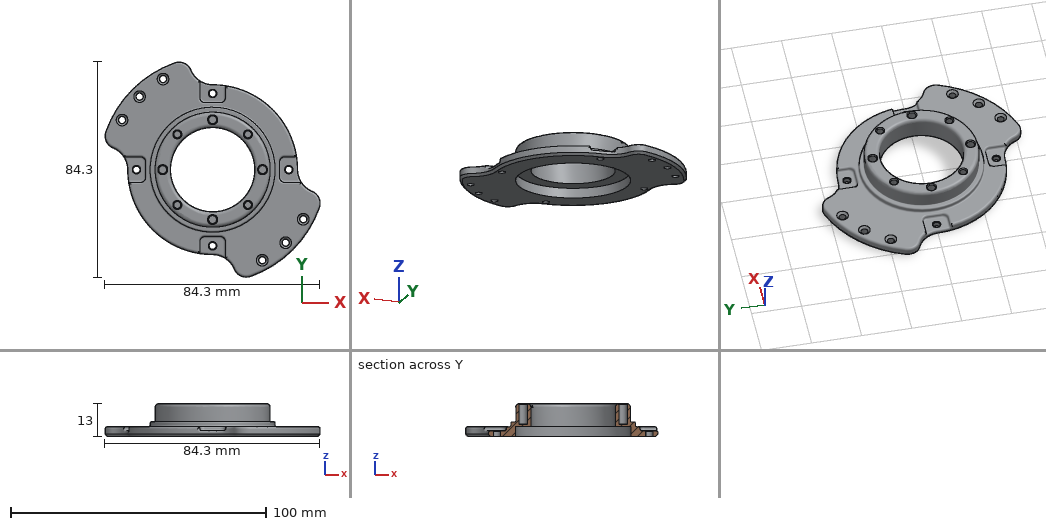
import cadquery as cq
import math

total_height = 13.0
plate_height = 4.0
pocket_floor_height = 2.4
flange_height = 5.9

disc_radius = 33.3
ear_radius = 44.45
ear_corner_radius = 5.1
ear_neck_radius = 9.2
plate_top_fillet = 1.0
plate_bottom_chamfer = 1.0

ring_diameter = 45.1
bore_diameter = 33.0
recess_diameter = ring_diameter
recess_depth = plate_height
ring_top_fillet = 1.5
ring_base_fillet = 0.25
flange_diameter = 49.0
flange_edge_fillet = 0.6
flange_base_fillet = 0.6

pocket_width = 10.0
pocket_inner_distance = 26.2
pocket_corner_radius = 2.0
pocket_fillet = 0.79
pocket_lip_fillet = 0.785
pocket_hole_distance = 29.85
pocket_hole_diameter = 2.7
pocket_hole_mouth = 3.3

ear_hole_distance = 40.5
ear_hole_step_angle = 16.3
ear_hole_diameter = 2.7
ear_hole_mouth = 4.55

ring_hole_distance = 19.6
ring_hole_depth = 8.0
axis_hole_diameter = 3.1
axis_hole_mouth = 4.0
diagonal_hole_diameter = 2.7
diagonal_hole_mouth = 3.55

edge_margin = 0.1

axis_angles = [0, 90, 180, 270]
diagonal_angles = [45, 135, 225, 315]
ear_angles = [135, 315]


def polar(radius, angle):
    """Point at a radius and an angle in degrees."""
    turn = math.radians(angle)
    return (radius * math.cos(turn), radius * math.sin(turn))


def between(start, end, distance):
    """Point at a distance from start on the line towards end."""
    share = distance / math.dist(start, end)
    return (start[0] + share * (end[0] - start[0]), start[1] + share * (end[1] - start[1]))


def arc_middle(centre, start, end, radius):
    """Middle point of the shorter arc from start to end."""
    chord_middle = ((start[0] + end[0]) / 2, (start[1] + end[1]) / 2)
    return between(centre, chord_middle, radius)


def outline():
    """Closed plate outline, walked counter-clockwise from the top of the disc."""
    neck_distance = disc_radius + ear_neck_radius
    corner_distance = ear_radius - ear_corner_radius
    centre_gap = ear_neck_radius + ear_corner_radius
    swing = math.degrees(math.acos(
        (neck_distance**2 + corner_distance**2 - centre_gap**2) / (2 * neck_distance * corner_distance)
    ))
    neck_centre = (0, neck_distance)
    corner_centre = polar(corner_distance, 90 + swing)

    disc_point = (0, disc_radius)
    neck_end = between(neck_centre, corner_centre, ear_neck_radius)
    neck_middle = arc_middle(neck_centre, disc_point, neck_end, ear_neck_radius)
    corner_end = polar(ear_radius, 90 + swing)
    corner_middle = arc_middle(corner_centre, neck_end, corner_end, ear_corner_radius)

    def mirrored(point):
        """Reflect across the ear diagonal."""
        return (-point[1], -point[0])

    def opposite(point):
        """Turn half a revolution about the centre."""
        return (-point[0], -point[1])

    half = [
        (neck_middle, neck_end),
        (corner_middle, corner_end),
        (polar(ear_radius, 135), mirrored(corner_end)),
        (mirrored(corner_middle), mirrored(neck_end)),
        (mirrored(neck_middle), mirrored(disc_point)),
        (polar(disc_radius, 225), opposite(disc_point)),
    ]
    sketch = cq.Workplane("XY").moveTo(*disc_point)
    for middle, end in half:
        sketch = sketch.threePointArc(middle, end)
    for middle, end in half:
        sketch = sketch.threePointArc(opposite(middle), opposite(end))
    return sketch.close()


def rounded_plate():
    """Plate with a rounded top rim and a chamfered bottom rim, without pockets."""
    plate = outline().extrude(plate_height)
    return plate.faces(">Z").edges().fillet(plate_top_fillet).faces("<Z").edges().chamfer(plate_bottom_chamfer)


def pocketed_slab():
    """Oversized slab with the four outward-open pockets, rounded at floor and rim."""
    slab_half = ear_radius + plate_height
    slab = cq.Workplane("XY").rect(2 * slab_half, 2 * slab_half).extrude(plate_height)
    length = 2 * (slab_half - pocket_inner_distance)
    pocket = (
        cq.Workplane("XY", origin=(slab_half, 0, pocket_floor_height))
        .rect(length, pocket_width)
        .extrude(plate_height - pocket_floor_height)
        .edges("|Z")
        .fillet(pocket_corner_radius)
        .faces("<Z")
        .edges()
        .fillet(pocket_fillet)
    )
    for angle in axis_angles:
        slab = slab.cut(pocket.rotate((0, 0, 0), (0, 0, 1), angle))
    rim_box = cq.selectors.BoxSelector(
        (-ear_radius, -ear_radius, plate_height - edge_margin),
        (ear_radius, ear_radius, plate_height + edge_margin),
    )
    return slab.edges(rim_box).fillet(pocket_fillet)


def lies_on_outer_wall(edge):
    """True for an edge that stays on the outer wall of the plate."""
    points = [edge.positionAt(place) for place in (0, 0.5, 1)]
    return all(math.hypot(point.x, point.y) > disc_radius - edge_margin for point in points)


def pocketed_plate():
    """Plate whose upper rim, dipping through each pocket, is rounded all the way round."""
    plate = outline().extrude(plate_height).intersect(pocketed_slab())
    rim = [
        edge
        for edge in plate.edges().vals()
        if lies_on_outer_wall(edge) and edge.BoundingBox().zmin > pocket_floor_height - edge_margin
    ]
    return plate.newObject(rim).fillet(pocket_lip_fillet).intersect(rounded_plate())


def central_ring():
    """Flange and ring above the plate, revolved with their base and top fillets."""
    ring = ring_diameter / 2
    flange = flange_diameter / 2
    diagonal = math.sqrt(0.5)

    def quarter(sketch, centre, radius, middle, end):
        """Quarter arc about a centre, through a diagonal direction to an end direction."""
        return sketch.threePointArc(
            (centre[0] + radius * middle[0] * diagonal, centre[1] + radius * middle[1] * diagonal),
            (centre[0] + radius * end[0], centre[1] + radius * end[1]),
        )

    base = flange_base_fillet
    edge = flange_edge_fillet
    foot = ring_base_fillet
    crown = ring_top_fillet
    profile = cq.Workplane("XZ").lineTo(flange + base, 0).lineTo(flange + base, plate_height)
    profile = quarter(profile, (flange + base, plate_height + base), base, (-1, -1), (-1, 0))
    profile = profile.lineTo(flange, flange_height - edge)
    profile = quarter(profile, (flange - edge, flange_height - edge), edge, (1, 1), (0, 1))
    profile = profile.lineTo(ring + foot, flange_height)
    profile = quarter(profile, (ring + foot, flange_height + foot), foot, (-1, -1), (-1, 0))
    profile = profile.lineTo(ring, total_height - crown)
    profile = quarter(profile, (ring - crown, total_height - crown), crown, (1, 1), (0, 1))
    profile = profile.lineTo(0, total_height).close()
    return profile.revolve(360, (0, 0, 0), (0, 1, 0))


def cylinder(diameter, bottom, top):
    """Upright cylinder on the Z axis."""
    return cq.Workplane("XY", origin=(0, 0, bottom)).circle(diameter / 2).extrude(top - bottom)


def hole_tool(diameter, mouth, bottom, top):
    """Round hole with a 45 degree countersink that opens at the top."""
    sink = (mouth - diameter) / 2
    cone = cq.Workplane("XY", origin=(0, 0, top)).circle(mouth / 2).workplane(offset=-sink)
    return cylinder(diameter, bottom, top).union(cone.circle(diameter / 2).loft())


def drill(body, tool, distance, angles):
    """Cut the tool at each angle of a circle about the Z axis."""
    for angle in angles:
        body = body.cut(tool.translate((*polar(distance, angle), 0)))
    return body


result = pocketed_plate().union(central_ring())

result = result.cut(cylinder(bore_diameter, 0, total_height))
bore_mouth = cq.selectors.RadiusNthSelector(0)
result = result.faces(">Z").edges(bore_mouth).fillet(ring_top_fillet)
result = result.cut(cylinder(recess_diameter, 0, recess_depth))

ear_hole = hole_tool(ear_hole_diameter, ear_hole_mouth, 0, plate_height)
ear_hole_angles = [ear + step * ear_hole_step_angle for ear in ear_angles for step in (-1, 0, 1)]
result = drill(result, ear_hole, ear_hole_distance, ear_hole_angles)

pocket_hole = hole_tool(pocket_hole_diameter, pocket_hole_mouth, 0, pocket_floor_height)
result = drill(result, pocket_hole, pocket_hole_distance, axis_angles)

ring_hole_floor = total_height - ring_hole_depth
axis_hole = hole_tool(axis_hole_diameter, axis_hole_mouth, ring_hole_floor, total_height)
result = drill(result, axis_hole, ring_hole_distance, axis_angles)
diagonal_hole = hole_tool(diagonal_hole_diameter, diagonal_hole_mouth, ring_hole_floor, total_height)
result = drill(result, diagonal_hole, ring_hole_distance, diagonal_angles)